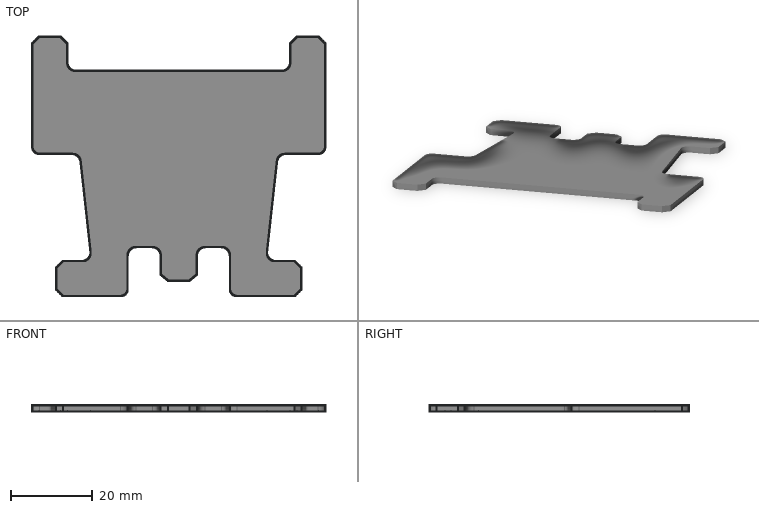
import cadquery as cq

width = 72.35
height = 64.0
thickness = 1.6

notch_half_width = 27.5
notch_depth = 8.4
arm_length = 28.9

waist_top_half_width = 24.45
waist_bottom_half_width = 21.55

foot_half_span = 30.25
foot_height = 8.7

slot_outer_x = 12.6
slot_depth = 12.1
tab_half_width = 4.5
tab_end_gap = 3.75

corner_chamfer = 1.65
tab_chamfer_across = 1.9
tab_chamfer_along = 1.6
outer_radius = 1.8
inner_radius = 2.0

top_y = height / 2
bottom_y = -height / 2
notch_y = top_y - notch_depth
arm_y = top_y - arm_length
foot_y = bottom_y + foot_height
slot_y = bottom_y + slot_depth
tab_y = bottom_y + tab_end_gap

notch_corner = (notch_half_width, notch_y)
arm_corner = (width / 2, arm_y)
waist_top = (waist_top_half_width, arm_y)
waist_bottom = (waist_bottom_half_width, foot_y)
foot_inner_corner = (slot_outer_x, bottom_y)
slot_outer_corner = (slot_outer_x, slot_y)
slot_inner_corner = (tab_half_width, slot_y)


def right_half_outline():
    """Outline of the right half from the notch floor down to the tab, with its chamfers."""
    return [
        notch_corner,
        (notch_half_width, top_y - corner_chamfer),
        (notch_half_width + corner_chamfer, top_y),
        (width / 2 - corner_chamfer, top_y),
        (width / 2, top_y - corner_chamfer),
        arm_corner,
        waist_top,
        waist_bottom,
        (foot_half_span - corner_chamfer, foot_y),
        (foot_half_span, foot_y - corner_chamfer),
        (foot_half_span, bottom_y + corner_chamfer),
        (foot_half_span - corner_chamfer, bottom_y),
        foot_inner_corner,
        slot_outer_corner,
        slot_inner_corner,
        (tab_half_width, tab_y + tab_chamfer_along),
        (tab_half_width - tab_chamfer_across, tab_y),
    ]


def round_corners(plate, corners, radius):
    """Round the upright edges at the given corners and at their mirror images."""
    for x, y in corners:
        for side in (1, -1):
            edge = cq.selectors.NearestToPointSelector((side * x, y, 0))
            plate = plate.edges("|Z").edges(edge).fillet(radius)
    return plate


right_half = right_half_outline()
left_half = [(-x, y) for x, y in reversed(right_half)]

plate = cq.Workplane("XY").polyline(right_half + left_half).close().extrude(thickness / 2, both=True)

plate = round_corners(plate, [arm_corner, foot_inner_corner], outer_radius)
plate = round_corners(
    plate, [notch_corner, waist_top, waist_bottom, slot_outer_corner, slot_inner_corner], inner_radius
)

result = plate